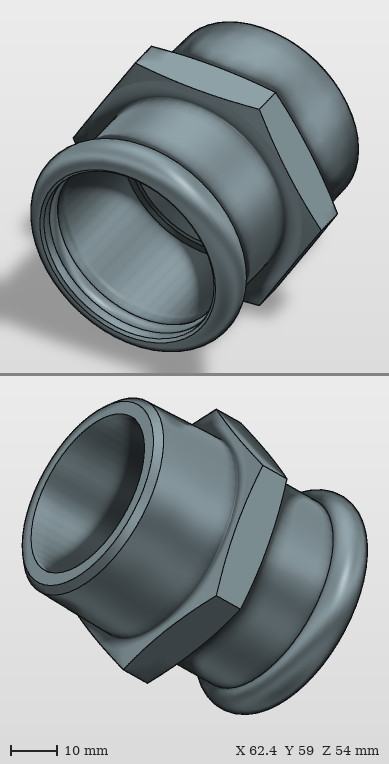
import cadquery as cq
import math

total_length = 59.0
bead_width = 9.1
hex_start = 28.0
hex_end = 37.05
thread_start = 38.05
thread_chamfer = 1.55

hex_across_corners = 62.35
hex_face_diameter = hex_across_corners * math.cos(math.radians(30))
hex_chamfer_angle = 15.0
neck_diameter = 45.4
bead_diameter = 52.7
thread_root_diameter = 48.3
thread_tip_diameter = 47.1
root_fillet = 0.4

bore_diameter = 38.0
bore_chamfer = 0.5
socket_diameter = 42.4
socket_end = 32.4
mouth_diameter = 44.15
lip_diameter = 42.7
lip_start = 0.55
seal_width = 3.35
seal_diameter = 41.45
lip_end = 8.35
socket_start = 9.35


def make_outer_sleeve():
    """Solid of revolution: rolled bead, neck and tapered thread."""
    neck_radius = neck_diameter / 2
    thread_root_radius = thread_root_diameter / 2
    thread_tip_radius = thread_tip_diameter / 2
    bead_radius = bead_width / 2
    bead_center = bead_diameter / 2 - bead_radius
    neck_offset = neck_radius - bead_center
    bead_end = bead_radius + math.sqrt(bead_radius**2 - neck_offset**2)
    return (
        cq.Workplane("XY")
        .lineTo(bead_center, 0)
        .threePointArc((bead_diameter / 2, bead_radius), (neck_radius, bead_end))
        .lineTo(neck_radius, hex_start - root_fillet)
        .radiusArc((neck_radius + root_fillet, hex_start), root_fillet)
        .lineTo(thread_root_radius + root_fillet, hex_end)
        .radiusArc((thread_root_radius, hex_end + root_fillet), root_fillet)
        .lineTo(thread_root_radius, thread_start)
        .lineTo(thread_tip_radius, total_length - thread_chamfer)
        .lineTo(thread_tip_radius - thread_chamfer, total_length)
        .lineTo(0, total_length)
        .close()
        .revolve(360, (0, 0), (0, 1))
    )


def make_hex():
    """Hexagonal flange with both ends of its corners turned to a cone."""
    corner_radius = hex_across_corners / 2
    face_radius = hex_face_diameter / 2
    cone_height = (corner_radius - face_radius) * math.tan(math.radians(hex_chamfer_angle))
    prism = (
        cq.Workplane("XZ", origin=(0, hex_start, 0))
        .polygon(6, hex_across_corners)
        .extrude(hex_start - hex_end)
    )
    turned_blank = (
        cq.Workplane("XY")
        .moveTo(0, hex_start)
        .lineTo(face_radius, hex_start)
        .lineTo(corner_radius, hex_start + cone_height)
        .lineTo(corner_radius, hex_end - cone_height)
        .lineTo(face_radius, hex_end)
        .lineTo(0, hex_end)
        .close()
        .revolve(360, (0, 0), (0, 1))
    )
    return prism.intersect(turned_blank)


def make_cavity():
    """Through bore, pipe socket, inward seal ridge and flared mouth."""
    lip_radius = lip_diameter / 2
    socket_radius = socket_diameter / 2
    bore_radius = bore_diameter / 2
    seal_middle = bead_width / 2
    seal_start = seal_middle - seal_width / 2
    seal_end = seal_middle + seal_width / 2
    return (
        cq.Workplane("XY")
        .lineTo(mouth_diameter / 2, 0)
        .lineTo(lip_radius, lip_start)
        .lineTo(lip_radius, seal_start)
        .threePointArc((seal_diameter / 2, seal_middle), (lip_radius, seal_end))
        .lineTo(lip_radius, lip_end)
        .lineTo(socket_radius, socket_start)
        .lineTo(socket_radius, socket_end)
        .lineTo(bore_radius + bore_chamfer, socket_end)
        .lineTo(bore_radius, socket_end + bore_chamfer)
        .lineTo(bore_radius, total_length)
        .lineTo(0, total_length)
        .close()
        .revolve(360, (0, 0), (0, 1))
    )


result = make_outer_sleeve().union(make_hex()).cut(make_cavity())